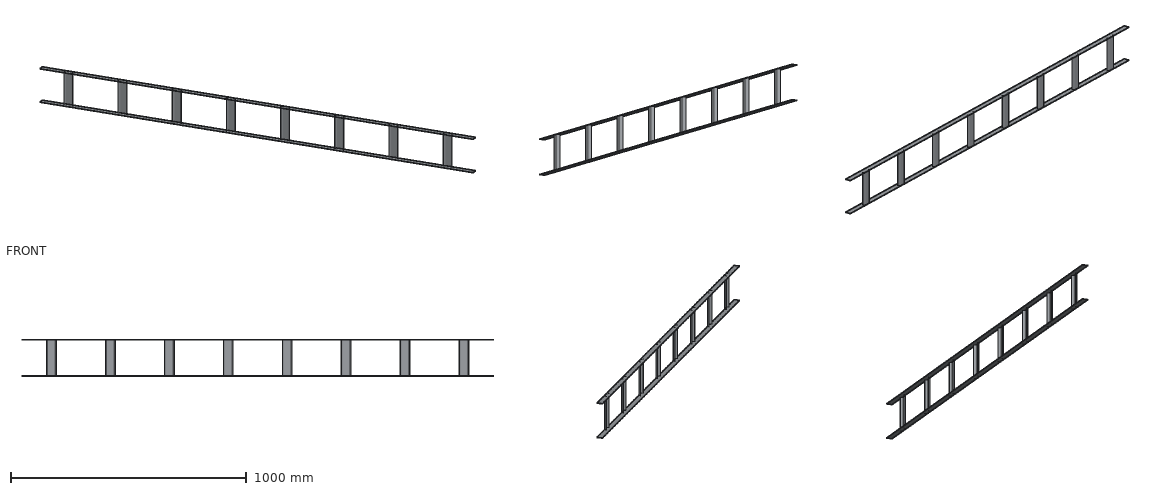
import cadquery as cq
import math

LADDER_LENGTH = 2000.0
LADDER_HEIGHT = 155.0

RUNG_COUNT = 8
RUNG_WIDTH = 42.0
RUNG_DEPTH = 10.0
SHEET_THICKNESS = 1.0
WALL_SLOPE = math.radians(56)
INNER_BEND_RADIUS = 2.0
OUTER_BEND_RADIUS = INNER_BEND_RADIUS + SHEET_THICKNESS

RAIL_THICKNESS = 3.0
RAIL_OVERHANG = 15.0
RAIL_DEPTH = RUNG_DEPTH + RAIL_OVERHANG

RAIL_OFFSET = (LADDER_HEIGHT - RAIL_THICKNESS) / 2
RUNG_LENGTH = LADDER_HEIGHT - 2 * RAIL_THICKNESS
RUNG_PITCH = LADDER_LENGTH / RUNG_COUNT
FIRST_RUNG_X = (RUNG_PITCH - LADDER_LENGTH) / 2
RUNG_BACK_Y = RAIL_DEPTH / 2
RUNG_FRONT_Y = RUNG_BACK_Y - RUNG_DEPTH


def make_rail(center_z):
    """Flat bar over the full length of the ladder."""
    return cq.Workplane("XY").box(LADDER_LENGTH, RAIL_DEPTH, RAIL_THICKNESS).translate((0, 0, center_z))


def round_bends(trough, corner_x, corner_y, radius):
    """Round the two upright edges at +corner_x and -corner_x."""
    for x in (-corner_x, corner_x):
        nearest = cq.selectors.NearestToPointSelector((x, corner_y, RUNG_LENGTH / 2))
        trough = trough.edges("|Z").edges(nearest).fillet(radius)
    return trough


def make_rung(center_x):
    """Bent-sheet trough standing between the rails, its flat floor at the back."""
    floor_y = RUNG_BACK_Y - SHEET_THICKNESS
    outer_x = RUNG_WIDTH / 2
    mouth_x = outer_x - SHEET_THICKNESS / math.sin(WALL_SLOPE)
    outer_corner_x = outer_x - RUNG_DEPTH / math.tan(WALL_SLOPE)
    inner_corner_x = mouth_x - (RUNG_DEPTH - SHEET_THICKNESS) / math.tan(WALL_SLOPE)

    profile = [
        (-outer_x, RUNG_FRONT_Y),
        (-mouth_x, RUNG_FRONT_Y),
        (-inner_corner_x, floor_y),
        (inner_corner_x, floor_y),
        (mouth_x, RUNG_FRONT_Y),
        (outer_x, RUNG_FRONT_Y),
        (outer_corner_x, RUNG_BACK_Y),
        (-outer_corner_x, RUNG_BACK_Y),
    ]
    trough = cq.Workplane("XY").polyline(profile).close().extrude(RUNG_LENGTH)
    trough = round_bends(trough, inner_corner_x, floor_y, INNER_BEND_RADIUS)
    trough = round_bends(trough, outer_corner_x, RUNG_BACK_Y, OUTER_BEND_RADIUS)
    return trough.translate((center_x, 0, -RUNG_LENGTH / 2))


rails = [make_rail(z) for z in (-RAIL_OFFSET, RAIL_OFFSET)]
rungs = [make_rung(FIRST_RUNG_X + i * RUNG_PITCH) for i in range(RUNG_COUNT)]

result = cq.Compound.makeCompound([body.val() for body in rails + rungs])